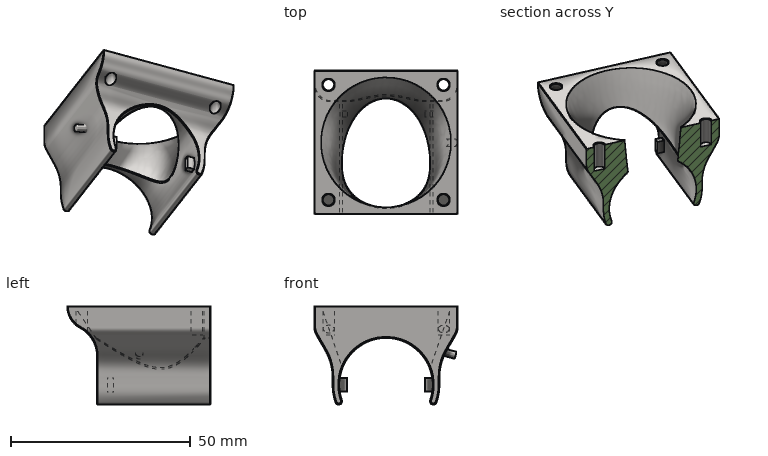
import cadquery as cq
import math

SIDE = 40.0
HEIGHT = 27.4
HALF = SIDE / 2
FRONT_Y = -HALF

BORE_RADIUS = 13.0
BORE_Z = -21.85
LEG_OUTER_RADIUS = 14.9
TIP_RADIUS = (LEG_OUTER_RADIUS - BORE_RADIUS) / 2

SHOULDER_Z = -5.6
SHOULDER_RADIUS = 4.8
SLOPE_ANGLE = math.radians(30)
BLEND_RADIUS = 14.4

CLIP_BACK_Y = 11.7
BACK_ARC_END_Z = -13.7
BACK_CONVEX_RADIUS = 6.8

DUCT_TOP_RADIUS = 18.1
DUCT_END_RADIUS = 10.6
DUCT_END_Z = BORE_Z

HOLE_DIAMETER = 3.1
HOLE_OFFSET = 16.0
HOLE_DEPTH = 8.0
HOLE_CHAMFER = 0.2

BLOCK_INNER_X = 10.85
BLOCK_Y = 8.0
BLOCK_LENGTH = 1.6
BLOCK_HEIGHT = 3.85

PIN_DIAMETER = 2.1
PIN_END_X = 19.4
PIN_END_Z = -13.7
PIN_LENGTH = 4.0
PIN_TILT = math.radians(15)
PIN_EDGE = 0.3

FRONT_EDGE = 0.3
BACK_EDGE = 0.25
TOP_EDGE = 0.15
DUCT_EDGE = 0.25
PIN_ROOT_FILLET = 0.3


def flank_points():
    """Right-hand flank, from the shoulder down to the end of the concave blend."""
    sin, cos = math.sin(SLOPE_ANGLE), math.cos(SLOPE_ANGLE)
    half_sin, half_cos = math.sin(SLOPE_ANGLE / 2), math.cos(SLOPE_ANGLE / 2)
    shoulder_x = HALF - SHOULDER_RADIUS
    blend_x = LEG_OUTER_RADIUS + BLEND_RADIUS
    slope_top = (shoulder_x + SHOULDER_RADIUS * cos, SHOULDER_Z - SHOULDER_RADIUS * sin)
    slope_end_x = blend_x - BLEND_RADIUS * cos
    slope_end_z = slope_top[1] - (slope_top[0] - slope_end_x) / math.tan(SLOPE_ANGLE)
    blend_z = slope_end_z - BLEND_RADIUS * sin
    return {
        "shoulder_mid": (shoulder_x + SHOULDER_RADIUS * half_cos, SHOULDER_Z - SHOULDER_RADIUS * half_sin),
        "slope_top": slope_top,
        "slope_end": (slope_end_x, slope_end_z),
        "blend_mid": (blend_x - BLEND_RADIUS * half_cos, blend_z + BLEND_RADIUS * half_sin),
        "blend_end": (LEG_OUTER_RADIUS, blend_z),
    }


def around_bore(radius, angle):
    """Point at a given angle below the horizontal, measured about the bore axis."""
    return (radius * math.cos(angle), BORE_Z - radius * math.sin(angle))


def make_clip():
    """Clip outline, drawn down the right side, over the bore and up the left, then extruded along Y."""
    flank = flank_points()
    middle_radius = BORE_RADIUS + TIP_RADIUS
    tip_angle = math.asin((BORE_Z - TIP_RADIUS + HEIGHT) / middle_radius)
    tip_end = around_bore(middle_radius, tip_angle + TIP_RADIUS / middle_radius)
    leg_mid = around_bore(LEG_OUTER_RADIUS, tip_angle / 2)
    leg_end = around_bore(LEG_OUTER_RADIUS, tip_angle)
    bore_end = around_bore(BORE_RADIUS, tip_angle)

    def left(point):
        return (-point[0], point[1])

    return (
        cq.Workplane("XZ", origin=(0, HALF, 0))
        .moveTo(HALF, 0)
        .lineTo(HALF, SHOULDER_Z)
        .threePointArc(flank["shoulder_mid"], flank["slope_top"])
        .lineTo(*flank["slope_end"])
        .threePointArc(flank["blend_mid"], flank["blend_end"])
        .lineTo(LEG_OUTER_RADIUS, BORE_Z)
        .threePointArc(leg_mid, leg_end)
        .threePointArc(tip_end, bore_end)
        .threePointArc((0, BORE_Z + BORE_RADIUS), left(bore_end))
        .threePointArc(left(tip_end), left(leg_end))
        .threePointArc(left(leg_mid), (-LEG_OUTER_RADIUS, BORE_Z))
        .lineTo(*left(flank["blend_end"]))
        .threePointArc(left(flank["blend_mid"]), left(flank["slope_end"]))
        .lineTo(*left(flank["slope_top"]))
        .threePointArc(left(flank["shoulder_mid"]), (-HALF, SHOULDER_Z))
        .lineTo(-HALF, 0)
        .close()
        .extrude(SIDE)
    )


def make_side_envelope():
    """Volume kept by the curved back face, extruded across the full width."""
    step = HALF - CLIP_BACK_Y
    sweep = 2 * math.atan2(step, -BACK_ARC_END_Z)
    concave_radius = -BACK_ARC_END_Z / math.sin(sweep) - BACK_CONVEX_RADIUS
    convex_y = HALF - BACK_CONVEX_RADIUS
    concave_y = CLIP_BACK_Y + concave_radius

    def convex(angle):
        return (convex_y + BACK_CONVEX_RADIUS * math.cos(angle), -BACK_CONVEX_RADIUS * math.sin(angle))

    def concave(angle):
        return (
            concave_y - concave_radius * math.cos(angle),
            BACK_ARC_END_Z + concave_radius * math.sin(angle),
        )

    return (
        cq.Workplane("YZ", origin=(-HALF, 0, 0))
        .moveTo(FRONT_Y, 0)
        .lineTo(HALF, 0)
        .threePointArc(convex(sweep / 2), convex(sweep))
        .threePointArc(concave(sweep / 2), (CLIP_BACK_Y, BACK_ARC_END_Z))
        .lineTo(CLIP_BACK_Y, -HEIGHT)
        .lineTo(FRONT_Y, -HEIGHT)
        .close()
        .extrude(SIDE)
    )


def make_duct():
    end_y = DUCT_END_RADIUS - DUCT_TOP_RADIUS
    return (
        cq.Workplane("XY")
        .circle(DUCT_TOP_RADIUS)
        .workplane(offset=DUCT_END_Z)
        .center(0, end_y)
        .circle(DUCT_END_RADIUS)
        .loft(ruled=True)
    )


def make_holes():
    spots = [(x, y) for x in (-HOLE_OFFSET, HOLE_OFFSET) for y in (-HOLE_OFFSET, HOLE_OFFSET)]
    radius = HOLE_DIAMETER / 2
    shafts = cq.Workplane("XY").pushPoints(spots).circle(radius).extrude(-HOLE_DEPTH)
    mouth = cq.Solid.makeCone(radius + HOLE_CHAMFER, radius, HOLE_CHAMFER, dir=cq.Vector(0, 0, -1))
    for x, y in spots:
        shafts = shafts.union(cq.Workplane(mouth.moved(cq.Location(cq.Vector(x, y, 0)))))
    return shafts


def make_block(side):
    """Block rooted in the middle of a leg wall; side is +1 or -1 along X."""
    root_x = BORE_RADIUS + TIP_RADIUS / 2
    depth = root_x - BLOCK_INNER_X
    centre = (side * (root_x + BLOCK_INNER_X) / 2, BLOCK_Y, BORE_Z)
    return cq.Workplane("XY", origin=centre).box(depth, BLOCK_LENGTH, BLOCK_HEIGHT)


def make_pin():
    inward = (-math.cos(PIN_TILT), 0, math.sin(PIN_TILT))
    plane = cq.Plane(origin=(PIN_END_X, 0, PIN_END_Z), xDir=(0, 1, 0), normal=inward)
    pin = cq.Workplane(plane).circle(PIN_DIAMETER / 2).extrude(PIN_LENGTH)
    return pin.faces(">X").edges().fillet(PIN_EDGE)


def edges_within(shape, low, high):
    """Edges whose centres lie inside the box between two corners."""
    return shape.edges(cq.selectors.BoxSelector(low, high))


body = make_clip().intersect(make_side_envelope())
body = body.faces("<Y").edges("not >Z").chamfer(FRONT_EDGE)
back_edges = edges_within(body, (-SIDE, CLIP_BACK_Y - BACK_EDGE, -HEIGHT), (SIDE, SIDE, -BACK_EDGE))
body = back_edges.edges("not |X").chamfer(BACK_EDGE)
body = body.faces(">Z").edges().chamfer(TOP_EDGE)

body = body.cut(make_duct())
rim_half_width = DUCT_TOP_RADIUS / 2
rim_low = (-rim_half_width, -rim_half_width, BORE_Z)
rim_high = (rim_half_width, rim_half_width, BORE_Z + BORE_RADIUS - TOP_EDGE)
body = edges_within(body, rim_low, rim_high).chamfer(DUCT_EDGE)

body = body.cut(make_holes())
for side in (-1, 1):
    body = body.union(make_block(side))

body = body.union(make_pin())
root_low = (LEG_OUTER_RADIUS, -PIN_DIAMETER, BORE_Z)
root_high = (PIN_END_X - PIN_DIAMETER / 2, PIN_DIAMETER, SHOULDER_Z)
root_box = cq.selectors.BoxSelector(root_low, root_high, boundingbox=True)
result = body.edges(root_box).fillet(PIN_ROOT_FILLET)